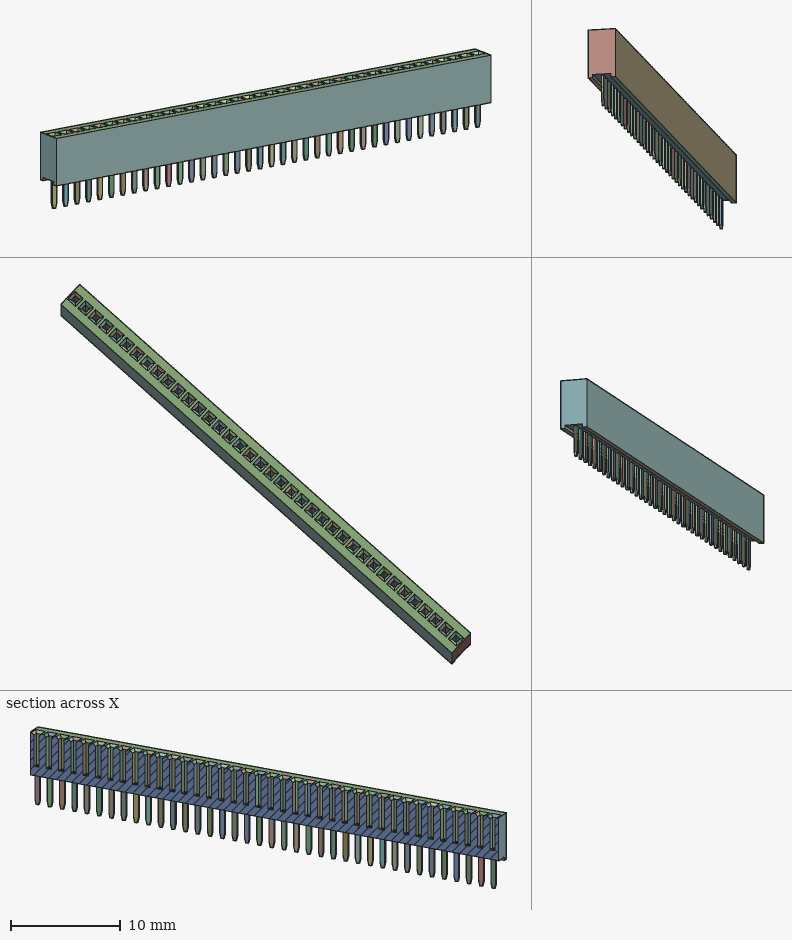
import cadquery as cq

pin_count = 38
pitch = 1.27
body_width = 2.54
body_length = pin_count * pitch
overall_height = 7.0
body_height = 4.5

channel_width = 1.7
channel_depth = 0.3

funnel_size = 1.0
socket_size = 0.5
funnel_depth = 0.25
socket_top = body_height - funnel_depth
socket_depth = 3.0
bore_diameter = 0.25
bore_depth = 0.3

tail_length = overall_height - body_height
tail_width = 0.5
tail_thickness = 0.2
tip_width = 0.25
tip_height = 0.5

first_contact_y = -(pin_count - 1) * pitch / 2
contact_positions = [first_contact_y + i * pitch for i in range(pin_count)]


def make_housing():
    """Rectangular bar standing on z = 0, with a channel along its underside."""
    housing = cq.Workplane("XY").box(body_width, body_length, body_height, centered=(True, True, False))
    channel = cq.Workplane("XY").box(
        channel_width, body_length, channel_depth, centered=(True, True, False)
    )
    return housing.cut(channel)


def make_opening():
    """Square lead-in funnel narrowing to a blind square socket with a small bore in its floor."""
    funnel = (
        cq.Workplane("XY", origin=(0, 0, body_height))
        .rect(funnel_size, funnel_size)
        .workplane(offset=-funnel_depth)
        .rect(socket_size, socket_size)
        .loft(ruled=True)
    )
    socket = (
        cq.Workplane("XY", origin=(0, 0, socket_top))
        .rect(socket_size, socket_size)
        .extrude(-socket_depth)
    )
    bore = (
        cq.Workplane("XY", origin=(0, 0, socket_top - socket_depth))
        .circle(bore_diameter / 2)
        .extrude(-bore_depth)
    )
    return funnel.union(socket).union(bore)


def make_tail():
    """Flat solder tail in the YZ plane with a tapered tip."""
    half_width = tail_width / 2
    half_tip = tip_width / 2
    outline = [
        (-half_width, channel_depth),
        (-half_width, tip_height - tail_length),
        (-half_tip, -tail_length),
        (half_tip, -tail_length),
        (half_width, tip_height - tail_length),
        (half_width, channel_depth),
    ]
    return cq.Workplane("YZ").polyline(outline).close().extrude(tail_thickness / 2, both=True)


def at_contacts(shape):
    """Copies of a shape at every contact position, as one compound."""
    copies = [shape.val().translate(cq.Vector(0, y, 0)) for y in contact_positions]
    return cq.Workplane(cq.Compound.makeCompound(copies))


result = make_housing().cut(at_contacts(make_opening())).union(at_contacts(make_tail()))